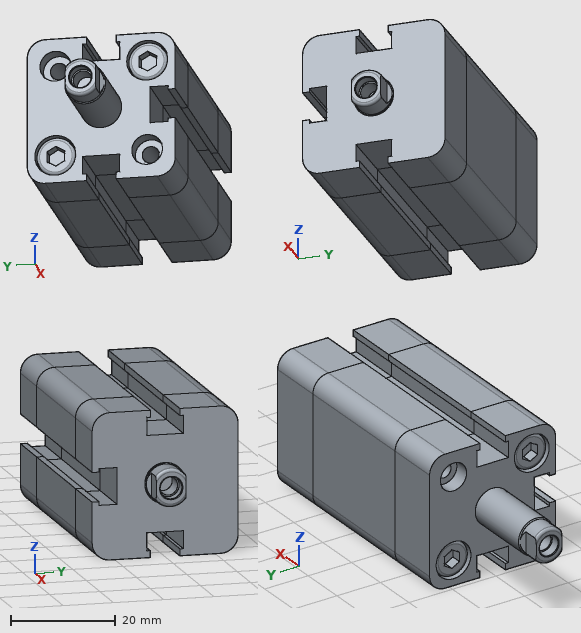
import cadquery as cq
import math

ROD_LENGTH = 77.0
HOUSING_START = 19.6
HOUSING_END = 72.5
FRONT_CAP_LENGTH = 12.0
REAR_CAP_LENGTH = 12.3
BARREL_START = HOUSING_START + FRONT_CAP_LENGTH
BARREL_END = HOUSING_END - REAR_CAP_LENGTH

HOUSING_WIDTH = 29.0
CORNER_RADIUS = 3.55
SLOT_MOUTH_WIDTH = 5.85
SLOT_MOUTH_DEPTH = 1.4
SLOT_WIDTH = 7.2
SLOT_DEPTH = 4.9
SLOT_ANGLES = (0, 90, 180)

CORNER_OFFSET = 9.0
MOUNT_HOLE_DIAMETER = 6.0
MOUNT_HOLE_DEPTH = 3.4
MOUNT_PILOT_DIAMETER = 3.3
COUNTERBORE_DIAMETER = 8.0
COUNTERBORE_DEPTH = 2.3
HEAD_DIAMETER = 7.6
HEAD_ROUNDING = 0.6
HEAD_RECESS = 0.55
HEX_ACROSS_FLATS = 3.5
HEX_DEPTH = 2.3
HEX_TURN = 90

ROD_DIAMETER = 8.0
FRONT_NECK_LENGTH = 4.4
REAR_NECK_LENGTH = ROD_LENGTH - HOUSING_END
NECK_DIAMETER = 7.55
NECK_ROUNDING = 0.6
FLAT_LENGTH = 3.6
ACROSS_FLATS = 5.9
THREAD_DIAMETER = 4.3
THREAD_DEPTH = 2.15
COUNTERSINK_DIAMETER = 4.6
CORE_DIAMETER = 3.7
CORE_DEPTH = 6.15


def x_cylinder(diameter, start, end, y=0.0, z=0.0):
    """Cylinder along X between two stations."""
    return cq.Workplane("YZ", origin=(start, y, z)).circle(diameter / 2).extrude(end - start)


def x_box(start, end, y_size, z_low, z_high):
    """Box along X, centred on Y."""
    return cq.Workplane("XY").box(
        end - start, y_size, z_high - z_low, centered=(False, True, False)
    ).translate((start, 0, z_low))


def t_slot(start, end):
    """Cutter for the undercut slot on the +Z face."""
    top = HOUSING_WIDTH / 2
    mouth = x_box(start, end, SLOT_MOUTH_WIDTH, top - SLOT_MOUTH_DEPTH, top)
    channel = x_box(start, end, SLOT_WIDTH, top - SLOT_DEPTH, top - SLOT_MOUTH_DEPTH)
    return mouth.union(channel)


def housing_section(start, end):
    """Length of slotted profile with a clear passage for the rod."""
    section = (
        cq.Workplane("YZ", origin=(start, 0, 0))
        .rect(HOUSING_WIDTH, HOUSING_WIDTH)
        .extrude(end - start)
        .edges("|X")
        .fillet(CORNER_RADIUS)
    )
    for angle in SLOT_ANGLES:
        section = section.cut(t_slot(start, end).rotate((0, 0, 0), (1, 0, 0), angle))
    return section.cut(x_cylinder(ROD_DIAMETER, start, end))


def cut_mount_hole(cap, y, z):
    """Stepped mounting hole from the front face, its pilot running through the cap."""
    hole = x_cylinder(MOUNT_HOLE_DIAMETER, HOUSING_START, HOUSING_START + MOUNT_HOLE_DEPTH, y, z)
    pilot = x_cylinder(MOUNT_PILOT_DIAMETER, HOUSING_START, BARREL_START, y, z)
    return cap.cut(hole).cut(pilot)


def add_screw_head(cap, y, z):
    """Recessed socket head standing in a counterbore, formed in one with the cap."""
    floor = HOUSING_START + COUNTERBORE_DEPTH
    top = HOUSING_START + HEAD_RECESS
    head = x_cylinder(HEAD_DIAMETER, top, floor, y, z).faces("<X").edges().fillet(HEAD_ROUNDING)
    socket = (
        cq.Workplane("YZ", origin=(top, y, z))
        .polygon(6, HEX_ACROSS_FLATS / math.cos(math.pi / 6))
        .extrude(HEX_DEPTH)
        .rotate((0, y, z), (1, y, z), HEX_TURN)
    )
    counterbore = x_cylinder(COUNTERBORE_DIAMETER, HOUSING_START, floor, y, z)
    return cap.cut(counterbore).union(head).cut(socket)


def make_front_cap():
    """Front cap: screws on one diagonal, mounting holes on the other."""
    cap = housing_section(HOUSING_START, BARREL_START)
    for side in (-1, 1):
        offset = side * CORNER_OFFSET
        cap = cut_mount_hole(cap, offset, offset)
        cap = add_screw_head(cap, offset, -offset)
    return cap


def cut_flats(rod):
    """Pair of wrench flats at the front end, running out at 45 degrees."""
    half_flats = ACROSS_FLATS / 2
    runout = ROD_DIAMETER - half_flats
    cutter = (
        cq.Workplane("XY", origin=(0, 0, -ROD_DIAMETER))
        .moveTo(0, half_flats)
        .lineTo(FLAT_LENGTH, half_flats)
        .lineTo(FLAT_LENGTH + runout, ROD_DIAMETER)
        .lineTo(0, ROD_DIAMETER)
        .close()
        .extrude(2 * ROD_DIAMETER)
    )
    return rod.cut(cutter).cut(cutter.mirror("XZ"))


def cut_end_bore(rod):
    """Countersunk thread bore with a narrower core hole at the front end."""
    countersink_depth = (COUNTERSINK_DIAMETER - THREAD_DIAMETER) / 2
    bore = (
        cq.Workplane("XY")
        .moveTo(0, 0)
        .lineTo(0, COUNTERSINK_DIAMETER / 2)
        .lineTo(countersink_depth, THREAD_DIAMETER / 2)
        .lineTo(THREAD_DEPTH, THREAD_DIAMETER / 2)
        .lineTo(THREAD_DEPTH, CORE_DIAMETER / 2)
        .lineTo(CORE_DEPTH, CORE_DIAMETER / 2)
        .lineTo(CORE_DEPTH, 0)
        .close()
        .revolve(360, (0, 0, 0), (1, 0, 0))
    )
    return rod.cut(bore)


def flip_ends(rod):
    """Swap the two ends of the rod."""
    return rod.mirror("YZ", (ROD_LENGTH / 2, 0, 0))


def make_rod():
    """Through rod with a necked, flatted and bored tip at each end."""
    neck = x_cylinder(NECK_DIAMETER, 0, ROD_LENGTH).faces("<X or >X").edges().fillet(NECK_ROUNDING)
    shank = x_cylinder(ROD_DIAMETER, FRONT_NECK_LENGTH, ROD_LENGTH - REAR_NECK_LENGTH)
    shoulder_chamfer = (ROD_DIAMETER - NECK_DIAMETER) / 2
    shank = shank.faces("<X or >X").edges().chamfer(shoulder_chamfer)
    rod = neck.union(shank)
    for _ in range(2):
        rod = flip_ends(cut_end_bore(cut_flats(rod)))
    return rod


front_cap = make_front_cap()
barrel = housing_section(BARREL_START, BARREL_END)
rear_cap = housing_section(BARREL_END, HOUSING_END)
piston_rod = make_rod()

result = cq.Compound.makeCompound([front_cap.val(), barrel.val(), rear_cap.val(), piston_rod.val()])